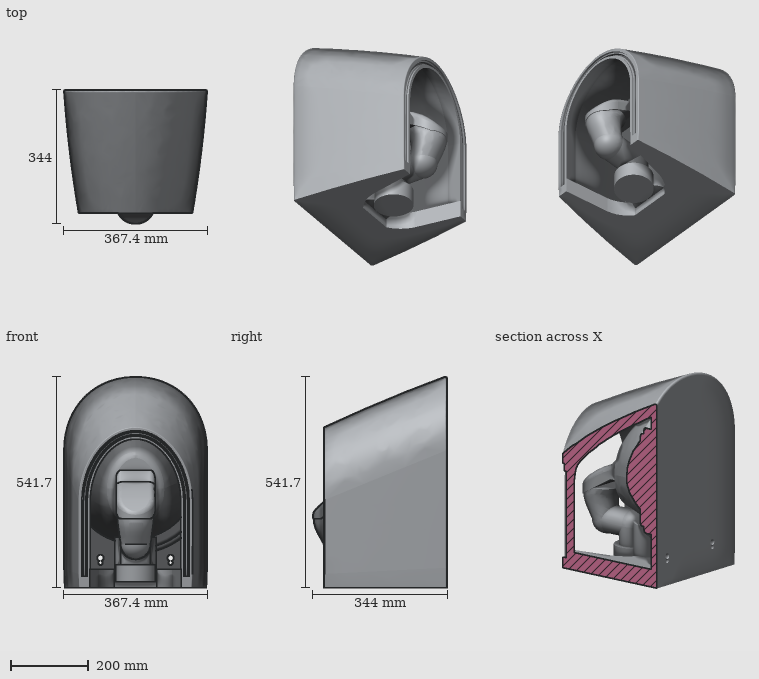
import math

import cadquery as cq

shell_depth = 316.0
back_half_width = 184.05
back_height = 543.9
back_spring_height = 354.0
back_fullness = 0.584
front_half_width = 146.0
front_height = 412.0
front_spring_height = 225.0
front_fullness = 0.53
mid_bulge = 4.0
foot_inset = 2.0
back_foot_height = 52.0
front_foot_height = 36.0
back_edge_radius = 5.0
front_edge_radius = 2.5

rim_width = 30.0
rim_lip_depth = 50.0
wall_thickness = 20.0
back_wall = 20.0
floor_height = 48.0

groove_inset = 8.5
groove_width = 14.0
groove_depth = 5.0
slot_width = 6.0
slot_depth = 12.0
groove_end_height = 30.0

cutout_front_half_width = front_half_width - rim_width + 1.0
cutout_waist = (94.0, -190.0)
cutout_shoulder = (75.0, -150.0)
cutout_end = (54.0, -130.0)

keyhole_x = 90.0
keyhole_height = 77.0
keyhole_radius = 8.0
keyhole_slot_radius = 5.5
keyhole_slot_drop = 12.5

bowl_radius = 172.0
bowl_centre_height = 280.0
bowl_top_rise = 225.0
waist_y = -60.0
waist_half_width = 152.0
waist_rise = 195.0
neck_half_width = 66.0
neck_half_height = 90.0
neck_centre_height = 252.0
neck_y = -200.0
neck_edge_radius = 25.0
ellipse_handle = 4 / 3 * (math.sqrt(2) - 1)
channel_radius = 192.0
channel_step = 12.0
channel_depth = 25.0
channel_edge_radius = 8.0

nose_y = -344.0
hood_half_width = 50.0
hood_root_y = -170.0
hood_crest = (-195.0, 308.0)
panel_top = (-228.0, 272.0)
panel_middle = (-300.0, 234.0)
panel_low = (-344.0, 193.0)
hood_edge_radius = 14.0
seam_height = 177.0
seam_bend_y = -325.0
seam_top = (-225.0, 235.0)
leg_sections = [
    (-282.0, 200.0, 46.0),
    (-296.0, 172.0, 46.0),
    (-290.0, 141.0, 42.0),
    (-277.0, 112.0, 39.0),
]
tube_radius = 37.0

outlet_y = -188.0
outlet_radius = 51.0
outlet_bottom = 16.0
outlet_top = 60.0
pipe_radius = 38.0
pillar_y = -120.0
pillar_radius = 53.0
pillar_top = 130.0


def arch(half_width, height, spring, fullness, base, y, foot_narrowing, foot_height):
    """Closed wire in the plane at y: upright sides under a rounded crown, drawn in at the foot.

    The crown is two cubic curves; a higher fullness makes its shoulders squarer.
    """
    handle_z = spring + fullness * (height - spring)
    handle_x = fullness * half_width
    foot = half_width - foot_narrowing
    return (
        cq.Workplane("XZ", origin=(0, y, 0))
        .moveTo(foot, base)
        .lineTo(half_width, base + foot_height)
        .lineTo(half_width, spring)
        .bezier([(half_width, handle_z), (handle_x, height), (0, height)], includeCurrent=True)
        .bezier([(-handle_x, height), (-half_width, handle_z), (-half_width, spring)], includeCurrent=True)
        .lineTo(-half_width, base + foot_height)
        .lineTo(-foot, base)
        .close()
        .wire()
        .val()
    )


def shell_section(depth, inset=0.0, base=0.0, foot_narrowing=0.0):
    """Cross-section of the body at a depth from the closed face, moved inwards by inset.

    Between the end faces the sections swell by a parabola that peaks at mid_bulge halfway.
    """
    t = depth / shell_depth
    bulge = mid_bulge * 4 * t * (1 - t)

    def blend(back, front):
        return back + (front - back) * t

    half_width = blend(back_half_width, front_half_width) + bulge - inset
    height = blend(back_height, front_height) + bulge - inset
    spring = blend(back_spring_height, front_spring_height)
    fullness = blend(back_fullness, front_fullness)
    foot_height = blend(back_foot_height, front_foot_height)
    return arch(half_width, height, spring, fullness, base, -depth, foot_narrowing, foot_height)


def loft(wires, ruled=False):
    return cq.Workplane(cq.Solid.makeLoft(wires, ruled))


def outer_body():
    depths = (0.0, shell_depth / 2, shell_depth)
    body = loft([shell_section(depth, foot_narrowing=foot_inset) for depth in depths])
    body = body.faces(">Y").edges("not(<Z)").fillet(back_edge_radius)
    return body.faces("<Y").edges("not(<Z)").fillet(front_edge_radius)


def cavity():
    lip_end = shell_depth - rim_lip_depth
    mid_depth = (lip_end + back_wall) / 2
    depths = (back_wall, mid_depth, lip_end)
    chamber = loft([shell_section(depth, wall_thickness, floor_height) for depth in depths])
    mouth = loft(
        [
            shell_section(lip_end, wall_thickness, floor_height),
            shell_section(shell_depth, rim_width, floor_height),
        ],
        ruled=True,
    )
    return chamber.union(mouth)


def floor_cutout():
    waist_x, waist_y = cutout_waist
    shoulder_x, shoulder_y = cutout_shoulder
    end_x, end_y = cutout_end
    return (
        cq.Workplane("XY")
        .moveTo(-cutout_front_half_width, -shell_depth)
        .lineTo(-waist_x, waist_y)
        .threePointArc((-shoulder_x, shoulder_y), (-end_x, end_y))
        .lineTo(end_x, end_y)
        .threePointArc((shoulder_x, shoulder_y), (waist_x, waist_y))
        .lineTo(cutout_front_half_width, -shell_depth)
        .close()
        .extrude(floor_height)
    )


def arched_groove(inset, width, depth):
    """Groove that follows the open rim, sunk from the rim face."""

    def block(block_inset):
        outline = shell_section(shell_depth, block_inset, groove_end_height)
        return cq.Workplane(cq.Solid.extrudeLinear(outline, [], cq.Vector(0, depth, 0)))

    return block(inset).cut(block(inset + width))


def seal_groove():
    slot_inset = groove_inset + (groove_width - slot_width) / 2
    step = arched_groove(groove_inset, groove_width, groove_depth)
    return step.union(arched_groove(slot_inset, slot_width, slot_depth))


def keyholes():
    plane = cq.Workplane("XZ")
    places = [(-keyhole_x, keyhole_height), (keyhole_x, keyhole_height)]
    slots = [(x, z - keyhole_slot_drop) for x, z in places]
    large = plane.pushPoints(places).circle(keyhole_radius).extrude(back_wall)
    return large.union(plane.pushPoints(slots).circle(keyhole_slot_radius).extrude(back_wall))


def oval(y, centre, half_width, rise, drop):
    """Closed wire in the plane at y: four elliptic quarters with separate rise and drop."""
    corners = [(half_width, 0), (0, rise), (-half_width, 0), (0, -drop), (half_width, 0)]
    outline = cq.Workplane("XZ", origin=(0, y, centre)).moveTo(*corners[0])
    for (x0, z0), (x1, z1) in zip(corners, corners[1:]):
        leaving = (x0 + ellipse_handle * x1, z0 + ellipse_handle * z1)
        arriving = (x1 + ellipse_handle * x0, z1 + ellipse_handle * z0)
        outline = outline.bezier([leaving, arriving, (x1, z1)], includeCurrent=True)
    return outline.close().wire().val()


def bowl():
    """Funnel from a round root at the closed wall to a rounded oval neck."""
    root = oval(-back_wall / 2, bowl_centre_height, bowl_radius, bowl_top_rise, bowl_radius)
    waist = oval(waist_y, bowl_centre_height, waist_half_width, waist_rise, waist_half_width)
    neck = oval(neck_y, neck_centre_height, neck_half_width, neck_half_height, neck_half_height)
    return loft([root, waist, neck]).faces("<Y").edges().fillet(neck_edge_radius)


def channel_ring(radius, depth):
    """Disc against the closed wall with a rounded front edge, kept on the +X side only."""
    disc = (
        cq.Workplane("XZ", origin=(0, 0, bowl_centre_height))
        .circle(radius)
        .extrude(back_wall + depth)
        .faces("<Y")
        .edges()
        .fillet(channel_edge_radius)
    )
    half = cq.Workplane("XY", origin=(0, 0, bowl_centre_height)).box(
        radius, 2 * shell_depth, 2 * radius, centered=(False, True, True)
    )
    return disc.intersect(half)


def flush_channel():
    """Two stepped rings around one side of the bowl."""
    lower = channel_ring(channel_radius, channel_depth)
    return lower.union(channel_ring(channel_radius - channel_step, channel_depth + channel_step))


def trap_hood():
    """Round-nosed cap with a sloping, slightly domed top, its underside rising towards the bowl."""
    nose_centre = nose_y + hood_half_width
    plan = (
        cq.Workplane("XY")
        .moveTo(-hood_half_width, hood_root_y)
        .lineTo(-hood_half_width, nose_centre)
        .threePointArc((0, nose_y), (hood_half_width, nose_centre))
        .lineTo(hood_half_width, hood_root_y)
        .close()
        .extrude(hood_crest[1])
    )
    profile = (
        cq.Workplane("YZ")
        .moveTo(hood_root_y, 0)
        .lineTo(hood_root_y, hood_crest[1])
        .lineTo(*hood_crest)
        .lineTo(*panel_top)
        .threePointArc(panel_middle, panel_low)
        .lineTo(panel_low[0], 0)
        .close()
        .extrude(hood_half_width, both=True)
    )
    below_seam = (
        cq.Workplane("YZ")
        .moveTo(nose_y, 0)
        .lineTo(nose_y, seam_height)
        .lineTo(seam_bend_y, seam_height)
        .lineTo(*seam_top)
        .lineTo(hood_root_y, seam_top[1])
        .lineTo(hood_root_y, 0)
        .close()
        .extrude(hood_half_width, both=True)
    )
    cap = plan.intersect(profile)
    top_rim = cap.edges("not(|Z or |X)").edges("not(<Z)")
    return top_rim.fillet(hood_edge_radius).cut(below_seam)


def circle_at(y, z, radius):
    return cq.Wire.makeCircle(radius, cq.Vector(0, y, z), cq.Vector(0, 0, 1))


def trap():
    """Hood, tapering leg, round belly and the tube back to the outlet."""
    leg = loft([circle_at(y, z, radius) for y, z, radius in leg_sections])
    belly_y, belly_z, belly_radius = leg_sections[-1]
    belly = cq.Workplane("XY", origin=(0, belly_y, belly_z)).sphere(belly_radius)
    tube = (
        cq.Workplane("XZ", origin=(0, outlet_y, belly_z))
        .circle(tube_radius)
        .extrude(outlet_y - belly_y)
    )
    return trap_hood().union(leg).union(belly).union(tube)


def outlet():
    """Vertical outlet pipe with its collar, and the pillar behind it."""

    def upright(y, radius, bottom, top):
        return cq.Workplane("XY", origin=(0, y, bottom)).circle(radius).extrude(top - bottom)

    pipe_top = leg_sections[-1][1]
    collar = upright(outlet_y, outlet_radius, outlet_bottom, outlet_top)
    pipe = upright(outlet_y, pipe_radius, outlet_bottom, pipe_top)
    elbow = cq.Workplane("XY", origin=(0, outlet_y, pipe_top)).sphere(pipe_radius)
    pillar = upright(pillar_y, pillar_radius, floor_height / 2, pillar_top)
    return collar.union(pipe).union(elbow).union(pillar)


outer = outer_body()
fittings = bowl().union(flush_channel()).intersect(outer).union(trap()).union(outlet())
shell = outer.cut(cavity()).cut(floor_cutout()).cut(seal_groove())
result = shell.union(fittings).cut(keyholes())